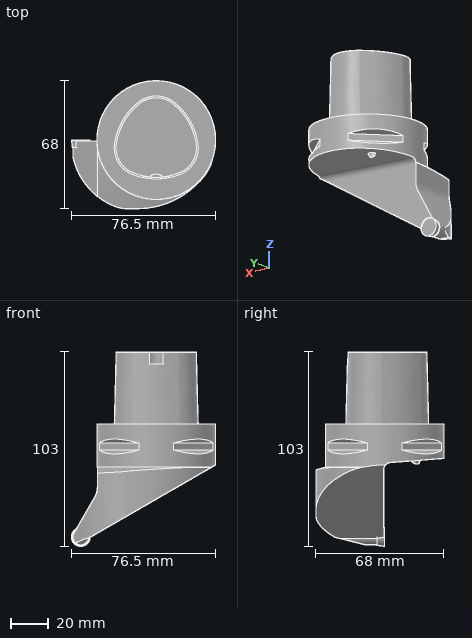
import cadquery as cq
import math

flange_diameter = 63.0
flange_radius = flange_diameter / 2
flange_height = 23.0
shank_height = 38.0
tip_depth = 65.0

shank_mean_radius = 22.0
shank_taper = 1 / 40
lobe_height = 1.35
lobe_offset = 8.0
key_radius = 5.0
key_center_y = -23.0
key_depth = 6.4

slot_center_z = -12.05
slot_floor_width = 3.6
slot_floor_distance = 27.8
slot_wall_angle = 30.0
slot_overshoot = 1.0
slot_angles = (45, 135, 225, 315)

insert_radius = 5.0
insert_thickness = 3.97
insert_relief_angle = 7.0
insert_x = insert_radius - 45.0
insert_z = insert_radius - tip_depth
seat_radius = 4.2
seat_length = 26.0

ramp_start_y = -10.3
ramp_slope = 14.0

arm_front_y = -0.5
arm_shoulder_x = -31.25
arm_shoulder_blend = 10.5
clearance_slope = 60.0
underside_slope = 30.0
underside_edge_z = -21.8

arm_back_y = -36.47
arm_nose = (-45.0, -1.0)
arm_nose_middle = (-34.3, -27.1)
arm_corner = (-22.5, -35.0)
arm_flat_start_x = -16.2
arm_flat_end_x = -10.1
arm_sweep_end = (17.9, -26.6)
arm_rim_start_x = 20.4
arm_rim_radius = flange_radius + 0.3
arm_top_slope = 15.0

cut_reach = 50.0

relief_slope = 4.4
relief_edge_z = -18.4
relief_blend = 3.8

nozzle_diameter = 4.4
nozzle_mouth = (-16.0, 16.2, -20.1)
nozzle_length = 3.0


def polar(radius, degrees, center=(0, 0)):
    angle = math.radians(degrees)
    return (center[0] + radius * math.cos(angle), center[1] + radius * math.sin(angle))


def underside_height(x):
    """Z of the slanted underside plane at a given X."""
    return underside_edge_z + (x - flange_radius) * math.tan(math.radians(underside_slope))


def lobed_wire(mean_radius, z):
    """Three lobe arcs joined tangentially by three flatter flank arcs."""
    lobe_tip = mean_radius + lobe_height
    flank_middle = mean_radius - lobe_height
    step = lobe_offset - (lobe_tip - flank_middle)
    flank_offset = (lobe_offset**2 - step**2) / (2 * step - lobe_offset)
    flank_radius = flank_offset + flank_middle
    half_flank = math.atan2(
        lobe_offset * math.cos(math.radians(30)),
        lobe_offset * math.sin(math.radians(30)) + flank_offset,
    )
    joint_x = flank_radius * math.sin(half_flank)
    joint_y = flank_radius * math.cos(half_flank) - flank_offset
    joint_radius = math.hypot(joint_x, joint_y)
    joint_angle = math.degrees(math.atan2(joint_x, joint_y))

    first_joint = -90 - joint_angle
    wire = cq.Workplane("XY", origin=(0, 0, z)).moveTo(*polar(joint_radius, first_joint))
    for flank in (-90, 30, 150):
        wire = wire.threePointArc(
            polar(flank_middle, flank), polar(joint_radius, flank + joint_angle)
        )
        wire = wire.threePointArc(
            polar(lobe_tip, flank + 60), polar(joint_radius, flank + 120 - joint_angle)
        )
    return wire.close().val()


def make_shank():
    top_mean_radius = shank_mean_radius - shank_height * shank_taper
    base = lobed_wire(shank_mean_radius, 0)
    top = lobed_wire(top_mean_radius, shank_height)
    shank = cq.Workplane(cq.Solid.makeLoft([base, top], True))
    key_slot = (
        cq.Workplane("XY", origin=(0, key_center_y, shank_height))
        .circle(key_radius)
        .extrude(-key_depth)
    )
    return shank.cut(key_slot)


def make_gripper_slot(angle):
    """Radial groove with a flat floor and walls that flare outward."""
    outer = flange_radius + slot_overshoot
    floor_half = slot_floor_width / 2
    flare = (outer - slot_floor_distance) * math.tan(math.radians(slot_wall_angle))
    return (
        cq.Workplane("XZ")
        .moveTo(slot_floor_distance, slot_center_z - floor_half)
        .lineTo(outer, slot_center_z - floor_half - flare)
        .lineTo(outer, slot_center_z + floor_half + flare)
        .lineTo(slot_floor_distance, slot_center_z + floor_half)
        .close()
        .extrude(flange_radius, both=True)
        .rotate((0, 0, 0), (0, 0, 1), angle)
    )


def make_flange():
    flange = cq.Workplane("XY").circle(flange_radius).extrude(-flange_height)
    for angle in slot_angles:
        flange = flange.cut(make_gripper_slot(angle))
    return flange


def side_profile():
    """Wide block with the arm's silhouette along Y, reaching up into the flange."""
    slope = math.radians(clearance_slope)
    tangent_x, tangent_z = polar(seat_radius, 90 + clearance_slope, (insert_x, insert_z))
    corner_z = tangent_z + (arm_shoulder_x - tangent_x) * math.tan(slope)
    blend_length = arm_shoulder_blend * math.tan((math.pi / 2 - slope) / 2)
    blend_end = (
        arm_shoulder_x - blend_length * math.cos(slope),
        corner_z - blend_length * math.sin(slope),
    )
    drop_to_underside = insert_z - underside_height(insert_x)
    underside_gap = drop_to_underside * math.cos(math.radians(underside_slope))
    seat_start = 90 + clearance_slope
    seat_end = 270 + underside_slope - math.degrees(math.acos(underside_gap / seat_radius))
    return (
        cq.Workplane("XZ")
        .moveTo(arm_shoulder_x, 0)
        .lineTo(arm_shoulder_x, corner_z + blend_length)
        .radiusArc(blend_end, arm_shoulder_blend)
        .lineTo(tangent_x, tangent_z)
        .threePointArc(
            polar(seat_radius, (seat_start + seat_end) / 2, (insert_x, insert_z)),
            polar(seat_radius, seat_end, (insert_x, insert_z)),
        )
        .lineTo(cut_reach, underside_height(cut_reach))
        .lineTo(cut_reach, 0)
        .close()
        .extrude(cut_reach, both=True)
    )


def make_plan():
    """Upright block with the arm's outline."""
    rim_start_y = -math.sqrt(arm_rim_radius**2 - arm_rim_start_x**2)
    rim_middle = polar(arm_rim_radius, math.degrees(math.atan2(rim_start_y, arm_rim_start_x)) / 2)
    return (
        cq.Workplane("XY")
        .moveTo(arm_nose[0], 0)
        .lineTo(*arm_nose)
        .threePointArc(arm_nose_middle, arm_corner)
        .tangentArcPoint((arm_flat_start_x, arm_back_y), relative=False)
        .lineTo(arm_flat_end_x, arm_back_y)
        .tangentArcPoint(arm_sweep_end, relative=False)
        .lineTo(arm_rim_start_x, rim_start_y)
        .threePointArc(rim_middle, (arm_rim_radius, 0))
        .close()
        .extrude(-tip_depth)
    )


def make_arm():
    cone_drop = (cut_reach - flange_radius) * math.tan(math.radians(arm_top_slope))
    envelope = (
        cq.Workplane("XZ")
        .moveTo(0, -flange_height)
        .lineTo(flange_radius, -flange_height)
        .lineTo(cut_reach, -flange_height - cone_drop)
        .lineTo(cut_reach, -tip_depth)
        .lineTo(0, -tip_depth)
        .close()
        .revolve(360, (0, 0, 0), (0, 1, 0))
    )
    return make_plan().intersect(envelope).intersect(side_profile())


def make_flange_corner_cut():
    """Space below the slanted underside plane, which clips the flange rim."""
    return (
        cq.Workplane("XZ")
        .moveTo(-cut_reach, underside_height(-cut_reach))
        .lineTo(cut_reach, underside_height(cut_reach))
        .lineTo(cut_reach, -2 * tip_depth)
        .lineTo(-cut_reach, -2 * tip_depth)
        .close()
        .extrude(cut_reach, both=True)
    )


def make_relief_cut():
    """Space ahead of the arm face, below the sloped flange underside, with a blended corner."""
    fall = math.tan(math.radians(relief_slope))
    return (
        cq.Workplane("YZ")
        .moveTo(arm_front_y, -2 * tip_depth)
        .lineTo(arm_front_y, relief_edge_z - (flange_radius - arm_front_y) * fall)
        .lineTo(cut_reach, relief_edge_z + (cut_reach - flange_radius) * fall)
        .lineTo(cut_reach, -2 * tip_depth)
        .close()
        .extrude(cut_reach, both=True)
        .edges("|X")
        .edges(cq.selectors.NearestToPointSelector((0, arm_front_y, -flange_height)))
        .fillet(relief_blend)
    )


def make_seat():
    """Round boss that carries the insert and runs back into the arm."""
    return (
        cq.Workplane("XZ", origin=(insert_x, arm_front_y, insert_z))
        .circle(seat_radius)
        .extrude(seat_length)
    )


def make_ramp_cut():
    """Space below a ramp that rises from the bottom of the seat toward the back."""
    ramp_run = cut_reach + ramp_start_y
    seat_bottom_z = insert_z - seat_radius
    return (
        cq.Workplane("YZ")
        .moveTo(ramp_start_y, seat_bottom_z)
        .lineTo(-cut_reach, seat_bottom_z + ramp_run * math.tan(math.radians(ramp_slope)))
        .lineTo(-cut_reach, -2 * tip_depth)
        .lineTo(ramp_start_y, -2 * tip_depth)
        .close()
        .extrude(cut_reach, both=True)
    )


def make_nozzle():
    mouth = cq.Vector(*nozzle_mouth)
    inward = mouth - cq.Vector(insert_x, 0, insert_z)
    return cq.Workplane(cq.Solid.makeCylinder(nozzle_diameter / 2, nozzle_length, mouth, inward))


def make_insert():
    """Round insert, narrowing from its cutting edge toward its seat."""
    back_radius = insert_radius - insert_thickness * math.tan(math.radians(insert_relief_angle))
    return cq.Workplane(
        cq.Solid.makeCone(
            insert_radius,
            back_radius,
            insert_thickness,
            cq.Vector(insert_x, 0, insert_z),
            cq.Vector(0, -1, 0),
        )
    )


insert = make_insert()
arm = make_arm().union(make_seat()).intersect(make_plan())
holder = make_flange().cut(make_flange_corner_cut()).union(arm)
holder = holder.cut(make_ramp_cut()).cut(make_relief_cut())
holder = holder.union(make_shank()).union(make_nozzle()).cut(insert)

result = cq.Compound.makeCompound([*holder.solids().vals(), *insert.vals()])